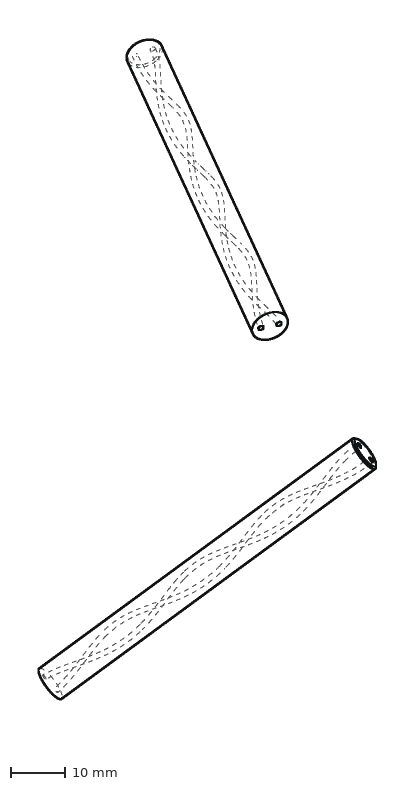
import cadquery as cq
import math

rod_length = 75.0
rod_diameter = 7.0
end_chamfer = 0.35

channel_count = 2
channel_diameter = 1.0
channel_circle_diameter = 3.5
channel_start_angle = 10.0
helix_angle = 30.0

helix_pitch = math.pi * rod_diameter / math.tan(math.radians(helix_angle))
channel_twist = 360.0 * rod_length / helix_pitch


def make_rod():
    """Cylinder along X with its -X rim chamfered."""
    rod = cq.Workplane("YZ").circle(rod_diameter / 2).extrude(rod_length)
    return rod.faces("<X").chamfer(end_chamfer)


def make_channel(start_angle):
    """Round section twisted about the rod axis over the full rod length."""
    radius = channel_circle_diameter / 2
    y = radius * math.cos(math.radians(start_angle))
    z = radius * math.sin(math.radians(start_angle))
    section = cq.Workplane("YZ").moveTo(y, z).circle(channel_diameter / 2)
    return section.twistExtrude(rod_length, channel_twist)


result = make_rod()
for index in range(channel_count):
    start_angle = channel_start_angle + index * 360.0 / channel_count
    result = result.cut(make_channel(start_angle))